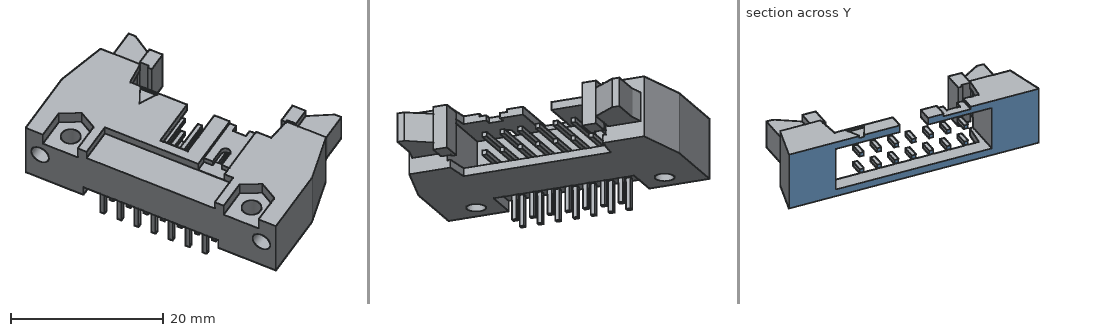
import cadquery as cq
import math

HOUSING_WIDTH = 37.4
HOUSING_HEIGHT = 8.5
SIDE_LENGTH = 10.0
MOUTH_Y = 13.8
TOWER_Y = 17.28
TOWER_OUTER_X = 16.83
TOWER_INNER_X = 10.92
MOUTH_HALF_WIDTH = 10.55
MID_Z = HOUSING_HEIGHT / 2

PITCH = 2.55
CONTACT_COUNT = 7
ROW_COUNT = 2
CONTACT_SIZE = 0.65
FRONT_ROW_Y = 1.05
TAIL_LENGTH = 2.9
CONTACT_TIP_Y = 13.6
CONTACT_EMBED = 1.5

WALL = 1.12
CAVITY_BACK_Y = 7.4
CAVITY_HALF_WIDTH = 11.37
KEY_SLOT_WIDTH = 4.08
KEY_SLOT_BACK_Y = 6.4

STRIP_X = 6.32
STRIP_WIDTH = 3.93
STRIP_DEPTH = 0.37
STRIP_FLOOR_END_Y = 6.65
U_NOTCH_WIDTH = 1.35
U_NOTCH_TIP_Y = 9.6
MOUTH_NOTCH_WIDTH = 2.0
MOUTH_NOTCH_LENGTH = 1.0

TOP_RECESS_WIDTH = 19.15
RECESS_LENGTH = 5.05
TOP_RECESS_DEPTH = 1.2
TAIL_RECESS_WIDTH = 20.12
TAIL_RECESS_DEPTH = 1.45

HOLE_DIAMETER = 2.6
SCREW_X = 13.5
SCREW_Y = 2.88
NUT_WIDTH = 5.2
NUT_DEPTH = 1.72
EDGE_HOLE_X = 16.53
EDGE_HOLE_Z = 4.45
EDGE_HOLE_DEPTH = 3.75

MARK_X = -7.63
MARK_WIDTH = 2.6
MARK_BASE_Y = 13.6
MARK_TIP_Y = 11.0
MARK_DEPTH = 0.3

LATCH_HEIGHT = 4.05
LATCH_TIP_Y = 23.3
LATCH_OUTER_X = 15.9
LATCH_ROOT_X = 16.38
LATCH_SHOULDER_Y = 19.22
LATCH_TIP_INNER_X = 14.9
LATCH_INNER_X = 11.67
LATCH_EMBED = 0.75
HOOK_HEIGHT = 6.05
HOOK_INNER_X = 9.7
HOOK_LIP_X = 10.32
HOOK_TOP_Y = 21.25
HOOK_BASE_Y = 18.6
HOOK_LIP_Y = 18.2


def block(x_range, y_range, z_range):
    """Axis-aligned box between the given limits."""
    (x0, x1), (y0, y1), (z0, z1) = x_range, y_range, z_range
    return cq.Workplane("XY").box(x1 - x0, y1 - y0, z1 - z0, centered=False).translate((x0, y0, z0))


def centred(middle, width):
    """Limits of a width centred on a middle position."""
    return (middle - width / 2, middle + width / 2)


def sunk(depth):
    """Height limits of a cut that goes down from the top face."""
    return (HOUSING_HEIGHT - depth, HOUSING_HEIGHT)


def prism(points, z_range):
    """Outline in XY extruded between two heights."""
    z0, z1 = z_range
    return cq.Workplane("XY").workplane(offset=z0).polyline(points).close().extrude(z1 - z0)


def both_sides(shape):
    """Shape together with its mirror image across the YZ plane."""
    return shape.union(shape.mirror("YZ"))


def housing():
    right_side = [
        (HOUSING_WIDTH / 2, 0),
        (HOUSING_WIDTH / 2, SIDE_LENGTH),
        (TOWER_OUTER_X, TOWER_Y),
        (TOWER_INNER_X, TOWER_Y),
        (MOUTH_HALF_WIDTH, MOUTH_Y),
    ]
    left_side = [(-x, y) for x, y in reversed(right_side)]
    return prism(right_side + left_side, (0, HOUSING_HEIGHT))


def mating_openings():
    cavity = block(
        centred(0, 2 * CAVITY_HALF_WIDTH),
        (CAVITY_BACK_Y, TOWER_Y),
        (WALL, HOUSING_HEIGHT - WALL),
    )
    key_slot = block(centred(0, KEY_SLOT_WIDTH), (KEY_SLOT_BACK_Y, MOUTH_Y), sunk(WALL))
    return cavity.union(key_slot)


def lowered_strip():
    across = centred(STRIP_X, STRIP_WIDTH)
    u_radius = U_NOTCH_WIDTH / 2
    u_centre_y = U_NOTCH_TIP_Y - u_radius
    strip = block(across, (RECESS_LENGTH, MOUTH_Y), sunk(STRIP_DEPTH))
    floor = block(across, (RECESS_LENGTH, STRIP_FLOOR_END_Y), sunk(WALL))
    u_slot = block(centred(STRIP_X, U_NOTCH_WIDTH), (STRIP_FLOOR_END_Y, u_centre_y), sunk(WALL))
    u_end = (
        cq.Workplane("XY")
        .workplane(offset=HOUSING_HEIGHT - WALL)
        .center(STRIP_X, u_centre_y)
        .circle(u_radius)
        .extrude(WALL)
    )
    mouth_notch = block(
        centred(STRIP_X, MOUTH_NOTCH_WIDTH),
        (MOUTH_Y - MOUTH_NOTCH_LENGTH, MOUTH_Y),
        sunk(WALL),
    )
    return strip.union(floor).union(u_slot).union(u_end).union(mouth_notch)


def edge_recesses():
    along = (0, RECESS_LENGTH)
    top = block(centred(0, TOP_RECESS_WIDTH), along, sunk(TOP_RECESS_DEPTH))
    tails = block(centred(0, TAIL_RECESS_WIDTH), along, (0, TAIL_RECESS_DEPTH))
    return top.union(tails)


def mounting_holes():
    hole = (
        cq.Workplane("XY")
        .center(SCREW_X, SCREW_Y)
        .circle(HOLE_DIAMETER / 2)
        .extrude(HOUSING_HEIGHT)
    )
    half_width = NUT_WIDTH / 2
    corner_y = SCREW_Y + half_width * math.tan(math.pi / 6)
    apex_y = SCREW_Y + half_width / math.cos(math.pi / 6)
    nut_pocket = prism(
        [
            (SCREW_X - half_width, 0),
            (SCREW_X + half_width, 0),
            (SCREW_X + half_width, corner_y),
            (SCREW_X, apex_y),
            (SCREW_X - half_width, corner_y),
        ],
        sunk(NUT_DEPTH),
    )
    edge_hole = (
        cq.Workplane("XZ")
        .center(EDGE_HOLE_X, EDGE_HOLE_Z)
        .circle(HOLE_DIAMETER / 2)
        .extrude(-EDGE_HOLE_DEPTH)
    )
    return both_sides(hole.union(nut_pocket).union(edge_hole))


def pin_one_mark():
    left, right = centred(MARK_X, MARK_WIDTH)
    return prism([(left, MARK_BASE_Y), (right, MARK_BASE_Y), (MARK_X, MARK_TIP_Y)], sunk(MARK_DEPTH))


def latches():
    arm = prism(
        [
            (LATCH_INNER_X, TOWER_Y - LATCH_EMBED),
            (LATCH_ROOT_X, TOWER_Y - LATCH_EMBED),
            (LATCH_ROOT_X, TOWER_Y),
            (LATCH_OUTER_X, LATCH_SHOULDER_Y),
            (LATCH_OUTER_X, LATCH_TIP_Y),
            (LATCH_TIP_INNER_X, LATCH_TIP_Y),
            (LATCH_INNER_X, HOOK_TOP_Y),
        ],
        centred(MID_Z, LATCH_HEIGHT),
    )
    hook = prism(
        [
            (LATCH_INNER_X, HOOK_TOP_Y),
            (HOOK_INNER_X, HOOK_TOP_Y),
            (HOOK_INNER_X, HOOK_LIP_Y),
            (HOOK_LIP_X, HOOK_LIP_Y),
            (HOOK_LIP_X, HOOK_BASE_Y),
            (LATCH_INNER_X, HOOK_BASE_Y),
        ],
        centred(MID_Z, HOOK_HEIGHT),
    )
    return both_sides(arm.union(hook))


def contacts():
    """Two rows of board tails and two rows of mating pins, all rooted inside the housing."""
    pins = cq.Workplane("XY")
    for column in range(CONTACT_COUNT):
        x = (column - (CONTACT_COUNT - 1) / 2) * PITCH
        for row in range(ROW_COUNT):
            across = centred(x, CONTACT_SIZE)
            tail_y = centred(FRONT_ROW_Y + row * PITCH, CONTACT_SIZE)
            tail = block(across, tail_y, (-TAIL_LENGTH, MID_Z))
            pin_z = centred(MID_Z + (row - (ROW_COUNT - 1) / 2) * PITCH, CONTACT_SIZE)
            pin = block(across, (CAVITY_BACK_Y - CONTACT_EMBED, CONTACT_TIP_Y), pin_z)
            pins = pins.add(tail).add(pin)
    return pins.combine()


result = (
    housing()
    .cut(mating_openings())
    .cut(lowered_strip())
    .cut(edge_recesses())
    .cut(mounting_holes())
    .cut(pin_one_mark())
    .union(latches())
    .union(contacts())
)